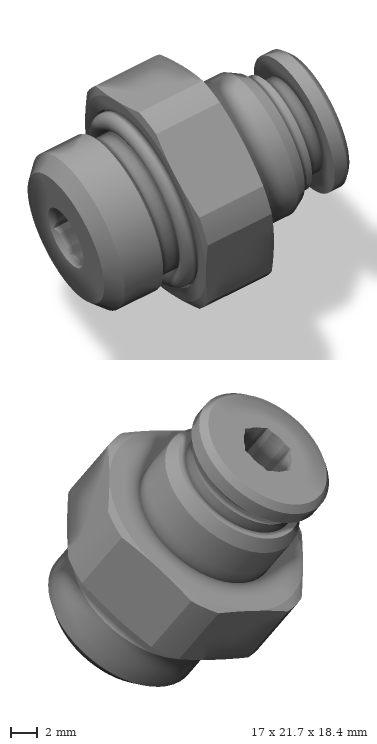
import cadquery as cq
import math


thread_back_y = 4.5
hex_front_y = 7.0
hex_back_y = 13.0
body_end_y = 17.7
collar_end_y = 18.7
flange_front_y = 20.1
total_length = 21.7

thread_radius = 13.0 / 2
groove_radius = 11.4 / 2
thread_lead_chamfer = 1.1
thread_runout = (thread_radius - groove_radius) * math.tan(math.radians(30))

hex_across_flats = 17.0
hex_corner_radius = 18.4 / 2
hex_chamfer_angle = 15.0

body_radius = 11.8 / 2
body_chamfer_length = 1.0
body_chamfer_height = body_chamfer_length * math.tan(math.radians(30))
collar_radius = 9.5 / 2

sleeve_radius = 7.9 / 2
flange_radius = 11.4 / 2
flange_chamfer = 0.5

socket_across_flats = 4.0
bore_radius = 4.2 / 2
countersink_radius = 5.0 / 2

ring_section_radius = 0.75
ring_centre_radius = groove_radius + ring_section_radius
ring_centre_y = 6.85
seat_radius = 14.7 / 2
seat_floor_y = ring_centre_y + ring_section_radius


def revolve_profile(points):
    """Turn a closed (radius, y) outline around the Y axis."""
    return cq.Workplane("XY").polyline(points).close().revolve(360, (0, 0, 0), (0, 1, 0))


def hex_prism(across_flats, start_y, end_y):
    """Hexagonal prism along Y with flats facing +X/-X and corners facing +Z/-Z."""
    across_corners = across_flats / math.cos(math.radians(30))
    return (
        cq.Workplane("XZ", origin=(0, start_y, 0))
        .transformed(rotate=(0, 0, 30))
        .polygon(6, across_corners)
        .extrude(start_y - end_y)
    )


def make_turned_core():
    """Thread, groove, tube-side body, collar and release sleeve as one turned shape."""
    return revolve_profile([
        (0, 0),
        (thread_radius - thread_lead_chamfer, 0),
        (thread_radius, thread_lead_chamfer),
        (thread_radius, thread_back_y),
        (groove_radius, thread_back_y + thread_runout),
        (groove_radius, hex_back_y),
        (body_radius, hex_back_y),
        (body_radius, body_end_y - body_chamfer_length),
        (body_radius - body_chamfer_height, body_end_y),
        (collar_radius, body_end_y),
        (collar_radius, collar_end_y),
        (sleeve_radius, collar_end_y),
        (sleeve_radius, flange_front_y),
        (flange_radius, flange_front_y),
        (flange_radius, total_length - flange_chamfer),
        (flange_radius - flange_chamfer, total_length),
        (0, total_length),
    ])


def make_hexagon():
    """Hexagon with turned-down corners, chamfered ends and the O-ring seat in its front face."""
    face_radius = hex_across_flats / 2
    chamfer_length = (hex_corner_radius - face_radius) * math.tan(math.radians(hex_chamfer_angle))
    envelope = revolve_profile([
        (0, seat_floor_y),
        (seat_radius, seat_floor_y),
        (seat_radius, hex_front_y),
        (face_radius, hex_front_y),
        (hex_corner_radius, hex_front_y + chamfer_length),
        (hex_corner_radius, hex_back_y - chamfer_length),
        (face_radius, hex_back_y),
        (0, hex_back_y),
    ])
    return hex_prism(hex_across_flats, hex_front_y, hex_back_y).intersect(envelope)


def make_socket():
    """Through passage: hexagon, relieving bore and the countersink at the threaded end."""
    countersink_depth = countersink_radius - bore_radius
    bore = revolve_profile([
        (0, 0),
        (countersink_radius, 0),
        (bore_radius, countersink_depth),
        (bore_radius, total_length),
        (0, total_length),
    ])
    return hex_prism(socket_across_flats, 0, total_length).union(bore)


def make_o_ring():
    """Round-section ring resting on the groove and the seat floor."""
    return (
        cq.Workplane("XY")
        .center(ring_centre_radius, ring_centre_y)
        .circle(ring_section_radius)
        .revolve(360, (-ring_centre_radius, 0, 0), (-ring_centre_radius, 1, 0))
    )


fitting = make_turned_core().union(make_hexagon()).cut(make_socket())
o_ring = make_o_ring()

result = cq.Compound.makeCompound([fitting.solids().val(), o_ring.val()])